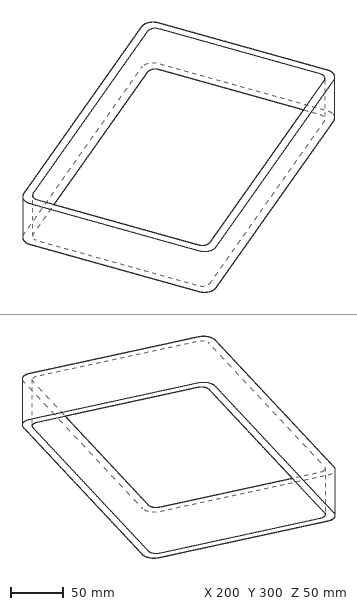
import cadquery as cq

length_x = 200.0
length_y = 300.0
height = 50.0
wall = 8.0
outer_radius = 12.0
inner_radius = 8.0


def rounded_block(size_x, size_y, corner_radius):
    """Upright block with its four vertical edges rounded."""
    return cq.Workplane("XY").box(size_x, size_y, height).edges("|Z").fillet(corner_radius)


outer_block = rounded_block(length_x, length_y, outer_radius)
opening = rounded_block(length_x - 2 * wall, length_y - 2 * wall, inner_radius)

result = outer_block.cut(opening)